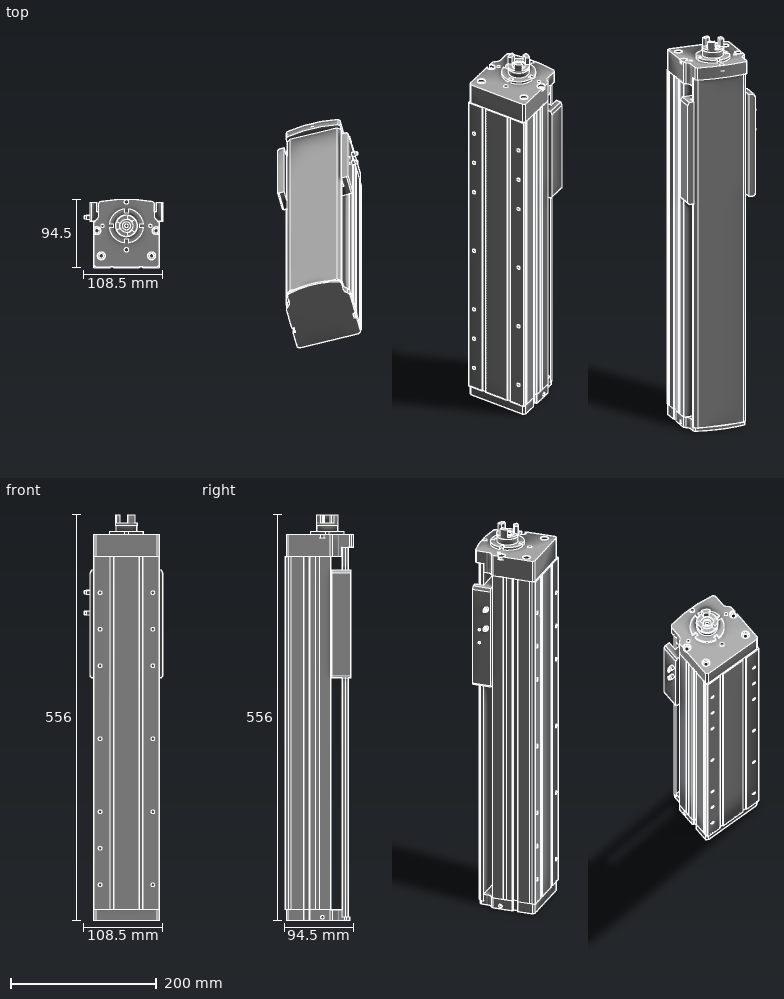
import cadquery as cq
import math

TOTAL_LENGTH = 556.0
HALF_WIDTH = 45.0

BLOCK_FRONT_Y = 1.5

PROFILE_BOTTOM_Z = 15.0
PROFILE_TOP_Z = 498.5
PROFILE_HEIGHT = 63.0
PROFILE_CHAMFER = 0.5
BASE_SLOT_X = 20.0
BASE_SLOT_WIDTH = 4.5
BASE_SLOT_DEPTH = BLOCK_FRONT_Y
BASE_SLOT_CHAMFER = 0.5
SIDE_SLOT_Y = 29.5
SIDE_SLOT_WIDTH = 6.5
SIDE_SLOT_DEPTH = 3.5
SIDE_SLOT_CHAMFER = 1.0
SIDE_GROOVES = ((6.5, 3.5), (44.5, 5.0))
SIDE_GROOVE_DEPTH = 0.5
FIXING_HOLE_X = 36.0
FIXING_HOLE_DIAMETER = 5.0
FIXING_HOLE_DEPTH = 5.5
FIXING_PITCH = 50.0
FIXING_OFFSET = -1.0
FIXING_ROWS = (1, 3, 5, 7, 8, 9)
FIXING_ROWS_LEFT_ONLY = (2,)

BLOCK_CHAMFER_X = 3.5
BLOCK_CHAMFER_Y = 2.0
SHOULDER_Y = 61.5
SHOULDER_LIP_HALF_WIDTH = 43.0
SHOULDER_LIP_Y = 65.0
SHOULDER_BULGE = 0.3
NECK_Y = 73.5
NECK_HALF_WIDTH = 38.5
CROWN_CHAMFER_X = 2.0
CROWN_CHAMFER_Y = 3.0

DRIVE_TOP_Z = 529.0
CROWN_EDGE_Y = 91.0
CROWN_Y = 94.5
OVERHANG_Y = 78.0
OVERHANG_BOTTOM_Z = 511.5
SCREW_HOLE_DIAMETER = 6.0
COUNTERBORE_DIAMETER = 10.0
COUNTERBORE_DEPTH = 5.0
COUNTERBORE_CHAMFER = 0.5
LOWER_SCREW_X = 34.5
LOWER_SCREW_Y = 16.5
UPPER_SCREW_X = 40.5
UPPER_SCREW_Y = 51.0
DOWEL_DIAMETER = 4.5
DOWEL_X = 33.0
THREAD_DIAMETER = 6.0
THREAD_DEPTH = 8.5
THREAD_OFFSET = 33.0

LEDGE_TOP_Z = 5.0
LEDGE_EDGE_Y = 84.0
LEDGE_CROWN_Y = 89.0
END_SIDE_HOLE_Y = 51.0
END_SIDE_HOLE_Z = 4.5
END_SIDE_HOLE_DIAMETER = 5.0
END_SIDE_HOLE_DEPTH = 5.5

COVER_BOTTOM_Y = 78.5
COVER_EDGE_Y = 83.0
COVER_TOP_Y = 86.5
COVER_TOP_HALF_WIDTH = 33.5

CARRIAGE_BOTTOM_Z = 332.5
CARRIAGE_TOP_Z = 480.5
CARRIAGE_HALF_WIDTH = 50.0
CARRIAGE_BOTTOM_Y = 64.0
CARRIAGE_TOP_Y = 90.0
CARRIAGE_FLOOR_Y = 77.0
WING_INNER_X = 40.5
END_BEVEL_X = 2.0
TOP_BEVEL_Z = 4.5
BOTTOM_BEVEL_Z = 3.0
NIPPLE_Y = 69.5
NIPPLE_Z = (421.5, 450.0)
NIPPLE_DIAMETER = 6.0
NIPPLE_LENGTH = 8.5
NIPPLE_HEAD_DIAMETER = 5.15
NIPPLE_HEAD_LENGTH = 4.0
NIPPLE_CHAMFER = 1.0
SIDE_HOLE_Y = 80.0
SIDE_HOLE_Z = (397.5, 417.0)
SIDE_HOLE_DIAMETER = 3.2
SIDE_HOLE_DEPTH = 5.5

SCREW_AXIS_Y = 58.0
NUT_DIAMETER = 46.5
NUT_TOP_Z = 533.0
NUT_NOTCH_COUNT = 4
NUT_NOTCH_WIDTH = 5.0
NUT_NOTCH_DEPTH = 5.5
HUB_DIAMETER = 29.0
COLLAR_DIAMETER = 30.0
COLLAR_BOTTOM_Z = 541.5
COLLAR_TOP_Z = 545.0
BORE_DIAMETER = 4.9
SEAT_DIAMETER = 18.0
SEAT_DEPTH = 1.0
BORE_STEP_DIAMETER = 11.0
BORE_STEP_DEPTH = 4.5
CLAW_COUNT = 3
CLAW_INNER_RADIUS = 9.5
CLAW_HALF_ANGLE = 22.0
CLAW_FIRST_ANGLE = 60.0


def box(x_range, y_range, z_range):
    """Axis-aligned box from three (low, high) ranges."""
    ranges = (x_range, y_range, z_range)
    sizes = [high - low for low, high in ranges]
    corner = [low for low, high in ranges]
    return cq.Workplane("XY").box(*sizes, centered=False).translate(tuple(corner))


def cylinder_z(diameter, x, y, bottom_z, top_z):
    """Cylinder standing along Z."""
    return cq.Workplane("XY", origin=(x, y, bottom_z)).circle(diameter / 2).extrude(top_z - bottom_z)


def cylinder_from_left(diameter, x, y, z, length):
    """Cylinder starting at x and running toward +X."""
    return cq.Workplane("YZ", origin=(x, y, z)).circle(diameter / 2).extrude(length)


def mirrored_outline(half_points, bottom_z, top_z):
    """Prism from the right half of an outline, listed upward in Y and mirrored to the left."""
    left_points = [(-x, y) for x, y in reversed(half_points)]
    outline = cq.Workplane("XY", origin=(0, 0, bottom_z)).polyline(half_points + left_points).close()
    return outline.extrude(top_z - bottom_z)


def side_slots(bottom_z, top_z):
    """Cutters for a slot with bevelled mouth in each X side."""
    inner_x = HALF_WIDTH - SIDE_SLOT_DEPTH
    mouth_x = HALF_WIDTH - SIDE_SLOT_CHAMFER
    low_y = SIDE_SLOT_Y - SIDE_SLOT_WIDTH / 2
    high_y = SIDE_SLOT_Y + SIDE_SLOT_WIDTH / 2
    points = [
        (inner_x, low_y),
        (mouth_x, low_y),
        (HALF_WIDTH, low_y - SIDE_SLOT_CHAMFER),
        (HALF_WIDTH, high_y + SIDE_SLOT_CHAMFER),
        (mouth_x, high_y),
        (inner_x, high_y),
    ]
    right = cq.Workplane("XY", origin=(0, 0, bottom_z)).polyline(points).close().extrude(top_z - bottom_z)
    return right.union(right.mirror("YZ"))


def base_slot(slot_x):
    """Cutter for a slot with bevelled mouth in the Y = 0 face of the profile."""
    half = BASE_SLOT_WIDTH / 2
    points = [
        (slot_x - half - BASE_SLOT_CHAMFER, 0),
        (slot_x + half + BASE_SLOT_CHAMFER, 0),
        (slot_x + half, BASE_SLOT_CHAMFER),
        (slot_x + half, BASE_SLOT_DEPTH),
        (slot_x - half, BASE_SLOT_DEPTH),
        (slot_x - half, BASE_SLOT_CHAMFER),
    ]
    outline = cq.Workplane("XY", origin=(0, 0, PROFILE_BOTTOM_Z)).polyline(points).close()
    return outline.extrude(PROFILE_TOP_Z - PROFILE_BOTTOM_Z)


def fixing_hole(x, row):
    """Cutter for one blind hole in the Y = 0 face."""
    plane = cq.Workplane("XZ", origin=(x, 0, FIXING_OFFSET + row * FIXING_PITCH))
    return plane.circle(FIXING_HOLE_DIAMETER / 2).extrude(-FIXING_HOLE_DEPTH)


def make_profile():
    body = box((-HALF_WIDTH, HALF_WIDTH), (0, PROFILE_HEIGHT), (PROFILE_BOTTOM_Z, PROFILE_TOP_Z))
    body = body.edges("|Z").chamfer(PROFILE_CHAMFER)
    for slot_x in (-BASE_SLOT_X, BASE_SLOT_X):
        body = body.cut(base_slot(slot_x))
    body = body.cut(side_slots(PROFILE_BOTTOM_Z, PROFILE_TOP_Z))
    for groove_y, width in SIDE_GROOVES:
        groove = box((HALF_WIDTH - SIDE_GROOVE_DEPTH, HALF_WIDTH),
                     (groove_y - width / 2, groove_y + width / 2),
                     (PROFILE_BOTTOM_Z, PROFILE_TOP_Z))
        body = body.cut(groove).cut(groove.mirror("YZ"))
    for row in FIXING_ROWS + FIXING_ROWS_LEFT_ONLY:
        body = body.cut(fixing_hole(-FIXING_HOLE_X, row))
    for row in FIXING_ROWS:
        body = body.cut(fixing_hole(FIXING_HOLE_X, row))
    return body


def block_prism(edge_y, crown_y, bottom_z, top_z):
    """End block outline: chamfered base, concave shoulders, narrow neck and arched top."""
    arc_x = NECK_HALF_WIDTH + SHOULDER_BULGE * (SHOULDER_LIP_HALF_WIDTH - NECK_HALF_WIDTH)
    arc_y = SHOULDER_LIP_Y + SHOULDER_BULGE * (NECK_Y - SHOULDER_LIP_Y)
    crown_half_width = NECK_HALF_WIDTH - CROWN_CHAMFER_X
    outline = (
        cq.Workplane("XY", origin=(0, 0, bottom_z))
        .moveTo(-HALF_WIDTH + BLOCK_CHAMFER_X, BLOCK_FRONT_Y)
        .lineTo(HALF_WIDTH - BLOCK_CHAMFER_X, BLOCK_FRONT_Y)
        .lineTo(HALF_WIDTH, BLOCK_FRONT_Y + BLOCK_CHAMFER_Y)
        .lineTo(HALF_WIDTH, SHOULDER_Y)
        .lineTo(SHOULDER_LIP_HALF_WIDTH, SHOULDER_LIP_Y)
        .threePointArc((arc_x, arc_y), (NECK_HALF_WIDTH, NECK_Y))
        .lineTo(NECK_HALF_WIDTH, edge_y - CROWN_CHAMFER_Y)
        .lineTo(crown_half_width, edge_y)
        .threePointArc((0, crown_y), (-crown_half_width, edge_y))
        .lineTo(-NECK_HALF_WIDTH, edge_y - CROWN_CHAMFER_Y)
        .lineTo(-NECK_HALF_WIDTH, NECK_Y)
        .threePointArc((-arc_x, arc_y), (-SHOULDER_LIP_HALF_WIDTH, SHOULDER_LIP_Y))
        .lineTo(-HALF_WIDTH, SHOULDER_Y)
        .lineTo(-HALF_WIDTH, BLOCK_FRONT_Y + BLOCK_CHAMFER_Y)
        .close()
    )
    return outline.extrude(top_z - bottom_z)


def screw_recess(x, y):
    """Cutter for a through hole with a chamfered counterbore in the drive block."""
    hole = cylinder_z(SCREW_HOLE_DIAMETER, x, y, PROFILE_TOP_Z, DRIVE_TOP_Z)
    counterbore = cylinder_z(COUNTERBORE_DIAMETER, x, y, DRIVE_TOP_Z - COUNTERBORE_DEPTH, DRIVE_TOP_Z)
    mouth = (
        cq.Workplane("XY", origin=(x, y, DRIVE_TOP_Z - COUNTERBORE_CHAMFER))
        .circle(COUNTERBORE_DIAMETER / 2)
        .workplane(offset=COUNTERBORE_CHAMFER)
        .circle(COUNTERBORE_DIAMETER / 2 + COUNTERBORE_CHAMFER)
        .loft(ruled=True)
    )
    return hole.union(counterbore).union(mouth)


def make_drive_block():
    body = block_prism(CROWN_EDGE_Y, CROWN_Y, PROFILE_TOP_Z, DRIVE_TOP_Z)
    body = body.cut(box((-HALF_WIDTH, HALF_WIDTH),
                        (OVERHANG_Y, CROWN_Y),
                        (PROFILE_TOP_Z, OVERHANG_BOTTOM_Z)))
    screws = ((LOWER_SCREW_X, LOWER_SCREW_Y), (UPPER_SCREW_X, UPPER_SCREW_Y))
    for side in (-1, 1):
        for x, y in screws:
            body = body.cut(screw_recess(side * x, y))
        body = body.cut(cylinder_z(DOWEL_DIAMETER, side * DOWEL_X, SCREW_AXIS_Y,
                                   DRIVE_TOP_Z - THREAD_DEPTH, DRIVE_TOP_Z))
        body = body.cut(cylinder_z(THREAD_DIAMETER, 0, SCREW_AXIS_Y + side * THREAD_OFFSET,
                                   DRIVE_TOP_Z - THREAD_DEPTH, DRIVE_TOP_Z))
    return body


def make_end_block():
    body = block_prism(LEDGE_EDGE_Y, LEDGE_CROWN_Y, 0, PROFILE_BOTTOM_Z)
    body = body.cut(box((-HALF_WIDTH, HALF_WIDTH),
                        (COVER_BOTTOM_Y, LEDGE_CROWN_Y),
                        (LEDGE_TOP_Z, PROFILE_BOTTOM_Z)))
    body = body.cut(side_slots(0, PROFILE_BOTTOM_Z))
    side_hole = cylinder_from_left(END_SIDE_HOLE_DIAMETER, -HALF_WIDTH, END_SIDE_HOLE_Y, END_SIDE_HOLE_Z,
                                   END_SIDE_HOLE_DEPTH)
    return body.cut(side_hole).cut(side_hole.mirror("YZ"))


def make_cover():
    """Bevelled strip resting on the end block ledge and reaching the drive block overhang."""
    half = [
        (NECK_HALF_WIDTH, COVER_BOTTOM_Y),
        (NECK_HALF_WIDTH, COVER_EDGE_Y),
        (COVER_TOP_HALF_WIDTH, COVER_TOP_Y),
    ]
    return mirrored_outline(half, LEDGE_TOP_Z, OVERHANG_BOTTOM_Z)


def make_nipple(z):
    tip_x = -CARRIAGE_HALF_WIDTH - NIPPLE_LENGTH
    stem_length = NIPPLE_LENGTH - NIPPLE_HEAD_LENGTH
    head = cylinder_from_left(NIPPLE_HEAD_DIAMETER, tip_x, NIPPLE_Y, z, NIPPLE_HEAD_LENGTH)
    head = head.faces("<X").chamfer(NIPPLE_CHAMFER)
    stem = cylinder_from_left(NIPPLE_DIAMETER, -CARRIAGE_HALF_WIDTH - stem_length, NIPPLE_Y, z, stem_length)
    return head.union(stem)


def make_carriage():
    """U-shaped carriage passing under the cover, with two lubrication nipples."""
    bevel_x = CARRIAGE_HALF_WIDTH - END_BEVEL_X
    plan = [
        (-bevel_x, CARRIAGE_BOTTOM_Z),
        (bevel_x, CARRIAGE_BOTTOM_Z),
        (CARRIAGE_HALF_WIDTH, CARRIAGE_BOTTOM_Z + BOTTOM_BEVEL_Z),
        (CARRIAGE_HALF_WIDTH, CARRIAGE_TOP_Z - TOP_BEVEL_Z),
        (bevel_x, CARRIAGE_TOP_Z),
        (-bevel_x, CARRIAGE_TOP_Z),
        (-CARRIAGE_HALF_WIDTH, CARRIAGE_TOP_Z - TOP_BEVEL_Z),
        (-CARRIAGE_HALF_WIDTH, CARRIAGE_BOTTOM_Z + BOTTOM_BEVEL_Z),
    ]
    outline = cq.Workplane("XZ", origin=(0, CARRIAGE_BOTTOM_Y, 0)).polyline(plan).close()
    body = outline.extrude(-(CARRIAGE_TOP_Y - CARRIAGE_BOTTOM_Y))
    body = body.cut(box((-WING_INNER_X, WING_INNER_X), (CARRIAGE_FLOOR_Y, CARRIAGE_TOP_Y),
                        (CARRIAGE_BOTTOM_Z, CARRIAGE_TOP_Z)))
    for z in SIDE_HOLE_Z:
        body = body.cut(cylinder_from_left(SIDE_HOLE_DIAMETER, -CARRIAGE_HALF_WIDTH, SIDE_HOLE_Y, z,
                                           SIDE_HOLE_DEPTH))
    for z in NIPPLE_Z:
        body = body.union(make_nipple(z))
    return body


def make_bearing_nut():
    """Flat round nut with four notches in its rim."""
    body = cylinder_z(NUT_DIAMETER, 0, SCREW_AXIS_Y, DRIVE_TOP_Z, NUT_TOP_Z)
    rim = NUT_DIAMETER / 2
    notch = box((rim - NUT_NOTCH_DEPTH, rim),
                (SCREW_AXIS_Y - NUT_NOTCH_WIDTH / 2, SCREW_AXIS_Y + NUT_NOTCH_WIDTH / 2),
                (DRIVE_TOP_Z, NUT_TOP_Z))
    for index in range(NUT_NOTCH_COUNT):
        angle = index * 360 / NUT_NOTCH_COUNT
        body = body.cut(notch.rotate((0, SCREW_AXIS_Y, 0), (0, SCREW_AXIS_Y, 1), angle))
    return body


def make_claw(centre_angle):
    """Ring sector rising from the coupling collar."""
    outer = COLLAR_DIAMETER / 2

    def point(radius, offset):
        angle = math.radians(centre_angle + offset)
        return radius * math.cos(angle), radius * math.sin(angle)

    outline = (
        cq.Workplane("XY", origin=(0, SCREW_AXIS_Y, COLLAR_TOP_Z))
        .moveTo(*point(CLAW_INNER_RADIUS, -CLAW_HALF_ANGLE))
        .lineTo(*point(outer, -CLAW_HALF_ANGLE))
        .threePointArc(point(outer, 0), point(outer, CLAW_HALF_ANGLE))
        .lineTo(*point(CLAW_INNER_RADIUS, CLAW_HALF_ANGLE))
        .threePointArc(point(CLAW_INNER_RADIUS, 0), point(CLAW_INNER_RADIUS, -CLAW_HALF_ANGLE))
        .close()
    )
    return outline.extrude(TOTAL_LENGTH - COLLAR_TOP_Z)


def make_coupling():
    """Jaw coupling half: bored hub, collar and claws."""
    body = cylinder_z(HUB_DIAMETER, 0, SCREW_AXIS_Y, NUT_TOP_Z, COLLAR_BOTTOM_Z)
    body = body.union(cylinder_z(COLLAR_DIAMETER, 0, SCREW_AXIS_Y, COLLAR_BOTTOM_Z, COLLAR_TOP_Z))
    body = body.cut(cylinder_z(BORE_DIAMETER, 0, SCREW_AXIS_Y, NUT_TOP_Z, COLLAR_TOP_Z))
    for diameter, depth in ((SEAT_DIAMETER, SEAT_DEPTH), (BORE_STEP_DIAMETER, BORE_STEP_DEPTH)):
        body = body.cut(cylinder_z(diameter, 0, SCREW_AXIS_Y, COLLAR_TOP_Z - depth, COLLAR_TOP_Z))
    for index in range(CLAW_COUNT):
        body = body.union(make_claw(CLAW_FIRST_ANGLE + index * 360 / CLAW_COUNT))
    return body


profile = make_profile()
drive_block = make_drive_block()
end_block = make_end_block()
cover = make_cover()
carriage = make_carriage()
bearing_nut = make_bearing_nut()
coupling = make_coupling()

result = cq.Compound.makeCompound([
    profile.solids().val(),
    drive_block.solids().val(),
    end_block.solids().val(),
    cover.solids().val(),
    carriage.solids().val(),
    bearing_nut.solids().val(),
    coupling.solids().val(),
])